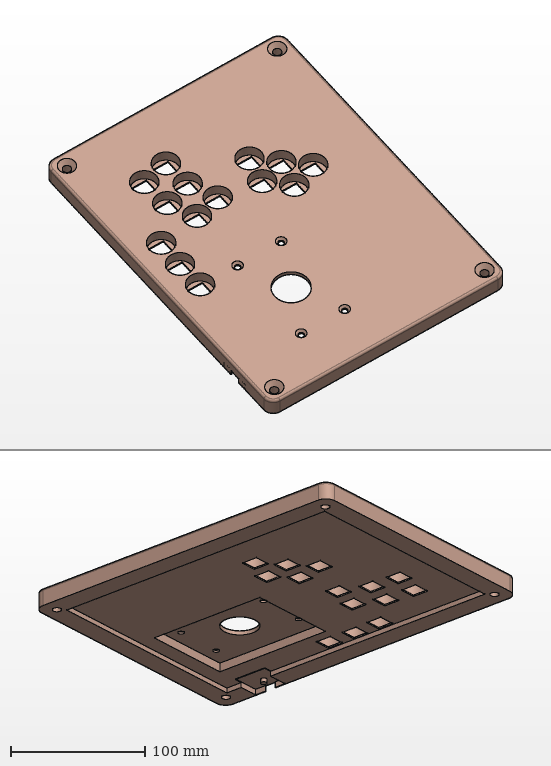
import cadquery as cq

LENGTH = 288.4
WIDTH = 217.7
THICKNESS = 14.7
CORNER_RADIUS = 8.7
TOP_EDGE_FILLET = 2.0

RIM_WIDTH = 17.3
CAVITY_DEPTH = 4.0

COUNTERSINK_ANGLE = 90

CORNER_SCREW_PITCH = (264.0, 193.5)
CORNER_SCREW_DIAMETER = 7.0
CORNER_SCREW_HEAD_DIAMETER = 14.5

WELL_DIAMETER = 22.0
WELL_DEPTH = 9.5
SWITCH_SIDE = 13.8
SOCKET_CENTERS = [
    (-25.5, 52.8), (-41.5, 35.2), (-18.0, 30.0), (-58.2, 18.0), (-35.0, 12.7),
    (-41.5, -23.5), (-65.5, -33.7), (-90.8, -35.5), (-36.0, -46.5), (-59.0, -57.0), (-85.5, -59.0),
    (-30.5, -83.3), (-5.8, -84.0), (19.0, -83.3),
]

JOYSTICK_CENTER = (61.0, -30.0)
SHAFT_HOLE_DIAMETER = 30.0
MOUNT_SCREW_PITCH = (81.0, 40.0)
MOUNT_SCREW_DIAMETER = 5.0
MOUNT_SCREW_HEAD_DIAMETER = 8.7
JOYSTICK_PLATE = 3.5
JOYSTICK_POCKET = (103.8, 75.0)

CONNECTOR_X = 98.3
CONNECTOR_POCKET_WIDTH = 28.8
CONNECTOR_POCKET_LENGTH = 23.0
CONNECTOR_POCKET_DEPTH = 4.5
CONNECTOR_WALL = 1.0
CONNECTOR_OPENING_WIDTH = 9.5
POST_DIAMETER = 5.0
POST_HEIGHT = 3.2
POST_X = 97.2
POST_SETBACK = 8.7

FRONT_Y = -WIDTH / 2


def underside_pocket(center, size, depth):
    """Box that cuts a rectangular pocket upward from the bottom face."""
    return cq.Workplane("XY").center(*center).rect(*size).extrude(depth)


def countersink_holes(body, center, pitch, diameter, head_diameter):
    """Cut a 2 x 2 pattern of countersunk holes from the top face."""
    return (
        body.faces(">Z").workplane(origin=(*center, THICKNESS))
        .rarray(*pitch, 2, 2)
        .cskHole(diameter, head_diameter, COUNTERSINK_ANGLE)
    )


plate = (
    cq.Workplane("XY").rect(LENGTH, WIDTH).extrude(THICKNESS)
    .edges("|Z").fillet(CORNER_RADIUS)
    .faces(">Z").edges().fillet(TOP_EDGE_FILLET)
)

cavity = underside_pocket((0, 0), (LENGTH - 2 * RIM_WIDTH, WIDTH - 2 * RIM_WIDTH), CAVITY_DEPTH)
joystick_pocket = underside_pocket(JOYSTICK_CENTER, JOYSTICK_POCKET, THICKNESS - JOYSTICK_PLATE)
plate = plate.cut(cavity).cut(joystick_pocket)

plate = countersink_holes(
    plate, (0, 0), CORNER_SCREW_PITCH, CORNER_SCREW_DIAMETER, CORNER_SCREW_HEAD_DIAMETER
)
plate = countersink_holes(
    plate, JOYSTICK_CENTER, MOUNT_SCREW_PITCH, MOUNT_SCREW_DIAMETER, MOUNT_SCREW_HEAD_DIAMETER
)

shaft_hole = (
    cq.Workplane("XY").center(*JOYSTICK_CENTER).circle(SHAFT_HOLE_DIAMETER / 2).extrude(THICKNESS)
)
plate = plate.cut(shaft_hole)

wells = (
    cq.Workplane("XY").workplane(offset=THICKNESS - WELL_DEPTH)
    .pushPoints(SOCKET_CENTERS)
    .circle(WELL_DIAMETER / 2)
    .extrude(WELL_DEPTH)
)
switch_openings = (
    cq.Workplane("XY").pushPoints(SOCKET_CENTERS).rect(SWITCH_SIDE, SWITCH_SIDE).extrude(THICKNESS)
)
plate = plate.cut(wells).cut(switch_openings)

pocket_front = FRONT_Y + CONNECTOR_WALL
connector_pocket = underside_pocket(
    (CONNECTOR_X, pocket_front + CONNECTOR_POCKET_LENGTH / 2),
    (CONNECTOR_POCKET_WIDTH, CONNECTOR_POCKET_LENGTH),
    CONNECTOR_POCKET_DEPTH,
)
connector_opening = underside_pocket(
    (CONNECTOR_X, FRONT_Y + CONNECTOR_WALL),
    (CONNECTOR_OPENING_WIDTH, 2 * CONNECTOR_WALL),
    CONNECTOR_POCKET_DEPTH,
)
post = (
    cq.Workplane("XY").workplane(offset=CONNECTOR_POCKET_DEPTH)
    .center(POST_X, pocket_front + POST_SETBACK)
    .circle(POST_DIAMETER / 2)
    .extrude(-POST_HEIGHT)
)
result = plate.cut(connector_pocket).cut(connector_opening).union(post)